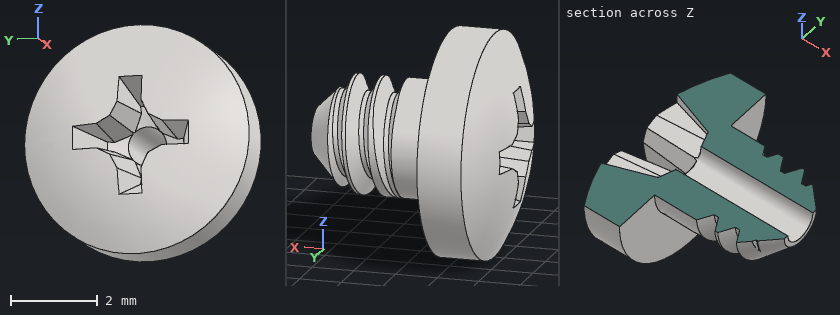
import cadquery as cq
import math

LENGTH = 4.92
HEAD_RADIUS = 2.68
DOME_EDGE_X = 0.685
HEAD_END_X = 1.74
DOME_APEX_X = -0.04
SHANK_RADIUS = 1.4
TIP_RADIUS = 0.59
BORE_RADIUS = 0.455

PITCH = 0.625
ROOT_RADIUS = 1.02
GROOVE_WIDTH = 0.54
ROOT_WIDTH = 0.12
GROOVE_START_X = 3.02
GROOVE_START_ANGLE = 45.0
GROOVE_TURNS = 2.5
LEAD_OUT_ANGLE = 120.0

RECESS_DEPTH = 1.445
RECESS_FLOOR_ANGLE = 20.0
WING_REACH = (1.43, 0.91)
WING_HALF_WIDTH = (0.29, 0.12)
SHOULDER_REACH = (0.78, 0.755)
INNER_CORNER = (0.455, 0.325)


def make_body():
    tip_start_x = LENGTH - (SHANK_RADIUS - TIP_RADIUS)
    sagitta = DOME_EDGE_X - DOME_APEX_X
    dome_radius = (HEAD_RADIUS**2 + sagitta**2) / (2 * sagitta)
    half_chord = HEAD_RADIUS / 2
    dome_mid_x = DOME_APEX_X + dome_radius - math.sqrt(dome_radius**2 - half_chord**2)
    return (
        cq.Workplane("XY")
        .moveTo(DOME_APEX_X, 0)
        .threePointArc((dome_mid_x, half_chord), (DOME_EDGE_X, HEAD_RADIUS))
        .lineTo(HEAD_END_X, HEAD_RADIUS)
        .lineTo(HEAD_END_X, SHANK_RADIUS)
        .lineTo(tip_start_x, SHANK_RADIUS)
        .lineTo(LENGTH, TIP_RADIUS)
        .lineTo(LENGTH, 0)
        .close()
        .revolve(360, (0, 0, 0), (1, 0, 0))
    )


def helical_groove(turns, cone_angle=0):
    """Groove solid around local Z, starting at local +X; a cone angle makes it climb outward."""
    overshoot = 0.025
    flank_slope = (GROOVE_WIDTH - ROOT_WIDTH) / 2 / (SHANK_RADIUS - ROOT_RADIUS)
    outer_half = GROOVE_WIDTH / 2 + overshoot * flank_slope
    outer_radius = SHANK_RADIUS + overshoot
    section = [
        (ROOT_RADIUS, -ROOT_WIDTH / 2),
        (outer_radius, -outer_half),
        (outer_radius, outer_half),
        (ROOT_RADIUS, ROOT_WIDTH / 2),
    ]
    slant_pitch = PITCH / math.cos(math.radians(cone_angle))
    edges = []
    for radius, z in section:
        helix = cq.Wire.makeHelix(
            slant_pitch,
            turns * slant_pitch,
            radius,
            cq.Vector(0, 0, z),
            angle=cone_angle or 360,
        )
        edges.append(helix.Edges()[0])
    faces = []
    for i, edge in enumerate(edges):
        faces.append(cq.Face.makeRuledSurface(edges[i - 1], edge))
    for corners in ([e.startPoint() for e in edges], [e.endPoint() for e in edges]):
        faces.append(cq.Face.makeFromWires(cq.Wire.makePolygon(corners, close=True)))
    return cq.Solid.makeSolid(cq.Shell.makeShell(faces))


def place_on_shank(groove):
    """Turn local Z onto X and local X onto the groove's start direction."""
    start = math.radians(GROOVE_START_ANGLE)
    plane = cq.Plane(
        origin=(GROOVE_START_X, 0, 0),
        xDir=(0, math.cos(start), math.sin(start)),
        normal=(1, 0, 0),
    )
    return groove.moved(cq.Location(plane))


def make_thread_groove():
    return place_on_shank(helical_groove(GROOVE_TURNS))


def make_lead_out():
    """Continuation toward the head that climbs out of the shank on a cone."""
    turns = LEAD_OUT_ANGLE / 360
    height = turns * PITCH
    cone_angle = math.degrees(math.atan((SHANK_RADIUS - ROOT_RADIUS) / height))
    groove = helical_groove(turns, cone_angle)
    groove = groove.rotate(cq.Vector(0, 0, 0), cq.Vector(1, 0, 0), 180)
    return place_on_shank(groove)


def recess_outline(x):
    """Corners of the cross at depth x; every wall tapers linearly."""
    def at_depth(ends):
        return ends[0] + (ends[1] - ends[0]) * x / RECESS_DEPTH

    reach = at_depth(WING_REACH)
    half_width = at_depth(WING_HALF_WIDTH)
    shoulder = at_depth(SHOULDER_REACH)
    corner = at_depth(INNER_CORNER)
    wing = [
        (shoulder, -half_width),
        (reach, -half_width),
        (reach, half_width),
        (shoulder, half_width),
        (corner, corner),
    ]
    points = []
    for _ in range(4):
        points += wing
        wing = [(-z, y) for y, z in wing]
    return points


def make_recess():
    floor_drop = WING_REACH[1] * math.tan(math.radians(RECESS_FLOOR_ANGLE))
    top_x = -0.105
    bottom_x = RECESS_DEPTH + floor_drop
    cross = (
        cq.Workplane("YZ", origin=(top_x, 0, 0))
        .polyline(recess_outline(top_x)).close()
        .workplane(offset=bottom_x - top_x)
        .polyline(recess_outline(bottom_x)).close()
        .loft(ruled=True)
    )
    floor_limit = (
        cq.Workplane("XY")
        .polyline([
            (top_x, 0),
            (top_x, HEAD_RADIUS),
            (RECESS_DEPTH, HEAD_RADIUS),
            (RECESS_DEPTH, WING_REACH[1]),
            (bottom_x, 0),
        ]).close()
        .revolve(360, (0, 0, 0), (1, 0, 0))
    )
    return cross.intersect(floor_limit)


def make_bore():
    return cq.Workplane("YZ").circle(BORE_RADIUS).extrude(LENGTH)


result = (
    make_body()
    .cut(make_thread_groove())
    .cut(make_lead_out())
    .cut(make_recess())
    .cut(make_bore())
)